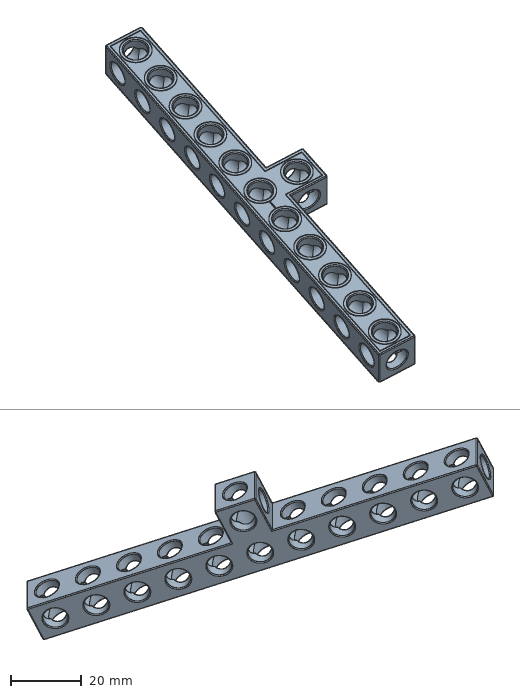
import cadquery as cq

cell_count = 11
length = 137.5
pitch = length / cell_count
middle_cell = cell_count // 2
stub_left = middle_cell * pitch

hole_diameter = 7.0
edge_chamfer = 0.3

border_width = 1.1
ring_diameter = 9.2
recess_depth = 0.2
rib_width = 0.2


def cell_center(index):
    """Distance from the end of a row to the center of one of its cells."""
    return (index + 0.5) * pitch


row_centers = [cell_center(i) for i in range(cell_count)]
bar_y = cell_center(0)
stub_y = cell_center(1)
stub_x = cell_center(middle_cell)
mid_z = pitch / 2
vertical_hole_points = [(x, bar_y) for x in row_centers] + [(stub_x, stub_y)]


def make_block(x, size_x, size_y, height, inset):
    """Box whose front left corner is at (x, 0, 0), its sides moved inward by the inset."""
    block = cq.Workplane("XY").box(size_x - 2 * inset, size_y - 2 * inset, height, centered=False)
    return block.translate((x + inset, inset, 0))


def make_body():
    """T-shaped body from two chamfered blocks, which leaves the inner corners sharp."""
    bar = make_block(0, length, pitch, pitch, 0).edges().chamfer(edge_chamfer)
    stub = make_block(stub_left, pitch, 2 * pitch, pitch, 0).edges().chamfer(edge_chamfer)
    return bar.union(stub, clean=True)


def make_hole(start, direction, depth):
    """Cutter for a through hole with a chamfer at both mouths."""
    near_mouth = cq.Vector(*start)
    inward = cq.Vector(*direction)
    far_mouth = near_mouth + inward * depth
    radius = hole_diameter / 2
    hole = cq.Workplane(cq.Solid.makeCylinder(radius, depth, near_mouth, inward))
    for mouth, axis in ((near_mouth, inward), (far_mouth, -inward)):
        cone = cq.Solid.makeCone(radius + edge_chamfer, radius, edge_chamfer, mouth, axis)
        hole = hole.union(cq.Workplane(cone))
    return hole


def make_recess():
    """Cutter for the top recess, open around the rings and the rib."""
    recess = make_block(0, length, pitch, recess_depth, border_width)
    recess = recess.union(make_block(stub_left, pitch, 2 * pitch, recess_depth, border_width))
    rings = (
        cq.Workplane("XY")
        .pushPoints(vertical_hole_points)
        .circle(ring_diameter / 2)
        .extrude(recess_depth)
    )
    rib = cq.Workplane("XY").box(pitch, rib_width, recess_depth, centered=(False, True, False))
    recess = recess.cut(rings).cut(rib.translate((stub_x, bar_y, 0)))
    return recess.translate((0, 0, pitch - recess_depth))


result = make_body()

for x, y in vertical_hole_points:
    result = result.cut(make_hole((x, y, 0), (0, 0, 1), pitch))

for cell, x in enumerate(row_centers):
    depth = 2 * pitch if cell == middle_cell else pitch
    result = result.cut(make_hole((x, 0, mid_z), (0, 1, 0), depth))

result = result.cut(make_hole((0, bar_y, mid_z), (1, 0, 0), length))
result = result.cut(make_hole((stub_left, stub_y, mid_z), (1, 0, 0), pitch))

result = result.cut(make_recess())